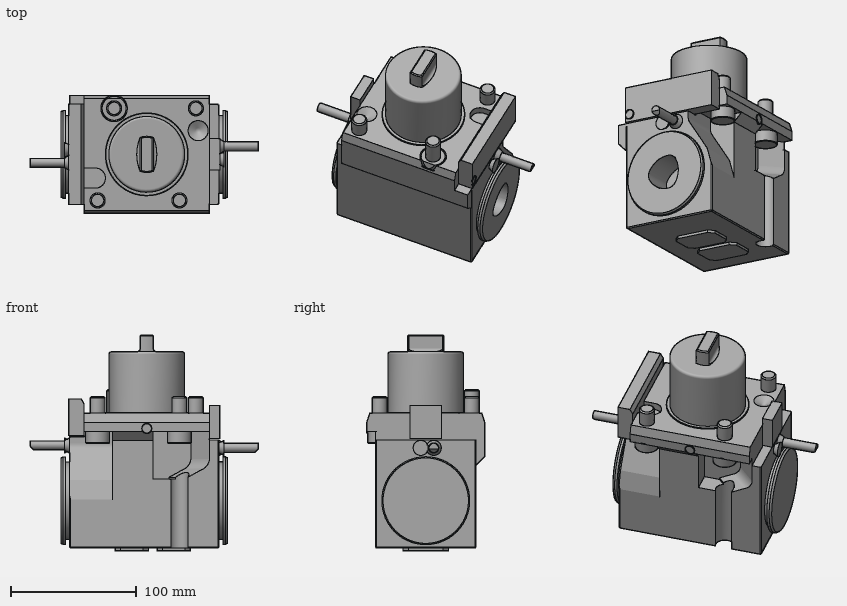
import cadquery as cq
import math


body_half_length = 59.4
body_half_width = 40.0
body_shoulder_left = 88.6
body_shoulder_right = 86.0
body_edge_chamfer = 0.9

plate_axis_x = 2.0
plate_half_length = 49.8
plate_half_width = 46.95
plate_bottom = 92.6
plate_top = 107.3
bevel_width = 2.4
bevel_height = 7.3
plate_left = plate_axis_x - plate_half_length
plate_right = plate_axis_x + plate_half_length
overhang = plate_half_width - body_half_width
rear_bulge_bottom = 72.8

cylinder_diameter = 60.3
cylinder_top = 156.2
cylinder_fillet = 2.2
collar_diameter = 66.0
collar_height = 0.7
key_top = 169.6
key_thickness = 10.5
key_diameter = 28.9
key_chamfer = 0.9
key_root_radius = 2.7

screw_diameter = 12.0
screw_head_diameter = 19.0
screw_head_bottom = 83.4
screw_head_chamfer = 0.5
screw_tip_chamfer = 1.0
screw_top = 120.5
tall_screw_top = 126.0
screw_y = 36.6
front_screws_x = (plate_axis_x - 39.0, plate_axis_x + 26.0)
rear_screws_x = (plate_axis_x - 26.0, plate_axis_x + 39.0)
counterbore_diameter = 21.0
counterbore_depth = 5.5

plate_hole_diameter = 16.0
plate_hole_x = 40.9
plate_hole_y = 18.9
drill_point_angle = 118
slot_depth = 6.0

flange_z = 37.8
flange_diameter = 70.0
flange_face_diameter = 68.0
flange_neck_diameter = 62.0
flange_face_x = 66.3
flange_thickness = 3.8
flange_bevel = 1.8
port_depth = 27.2
port_corner_radius = 8.0
port_corner_offset = 6.81

recess_end_x = -25.2
pocket_left_x = 7.0
pocket_floor_z = 54.8
pocket_depth = 15.6
pocket_slant = 14.9
groove_diameter = 15.0
groove_top = pocket_floor_z + 9

block_left_thickness = 12.4
block_left_bottom = 89.5
block_left_top = 118.8
block_right_thickness = 8.4
block_right_half_width = 12.5
block_right_bottom = 87.2
block_right_top = 113.5

cable_tip_x = 90.8
cone_length = 4.0
cone_large_diameter = 12.0
cone_small_diameter = 8.0
cable_tip_chamfer = 2.9

pin_diameter = 7.5
pin_hole_diameter = 8.0
pin_gap_depth = 0.7
front_pin_z = 95.2
block_pin_z = 95.9

pad_centers_x = (-9.8, 23.5)
pad_length = 26.5
pad_width = 36.3
pad_height = 2.2
pad_corner = 4.4


def block(x0, x1, y0, y1, z0, z1):
    """Box given by its limits along the three axes."""
    return cq.Workplane("XY").box(x1 - x0, y1 - y0, z1 - z0, centered=False).translate((x0, y0, z0))


def rod(diameter, start, direction, length):
    """Cylinder from a start point along a direction."""
    axis = cq.Vector(*direction)
    return cq.Workplane(cq.Solid.makeCylinder(diameter / 2, length, cq.Vector(*start), axis))


def cone(start_diameter, end_diameter, start, direction, length):
    """Truncated cone from a start point along a direction."""
    solid = cq.Solid.makeCone(
        start_diameter / 2, end_diameter / 2, length, cq.Vector(*start), cq.Vector(*direction)
    )
    return cq.Workplane(solid)


def along_x(points, x0, x1):
    """Prism of a (Y, Z) outline between two X positions."""
    return cq.Workplane("YZ", origin=(x0, 0, 0)).polyline(points).close().extrude(x1 - x0)


def rear_bulge(x0, x1, top):
    """Rear thickening of the body with a 45 degree underside."""
    return along_x(
        [
            (body_half_width, rear_bulge_bottom - overhang),
            (plate_half_width, rear_bulge_bottom),
            (plate_half_width, top),
            (body_half_width, top),
        ],
        x0,
        x1,
    )


def make_body():
    main = block(
        -body_half_length, body_half_length, -body_half_width, body_half_width, 0, body_shoulder_right
    )
    main = main.edges("|Z or <Z").chamfer(body_edge_chamfer)
    left_shoulder = block(
        -body_half_length, plate_left, -body_half_width, body_half_width,
        body_shoulder_right, body_shoulder_left,
    )
    under_plate = block(
        plate_left, plate_right, -body_half_width, body_half_width, body_shoulder_right, plate_bottom
    )
    front_corbel = along_x(
        [
            (-body_half_width, plate_bottom - overhang),
            (-body_half_width, plate_bottom),
            (-plate_half_width, plate_bottom),
        ],
        recess_end_x,
        pocket_left_x,
    )
    body = main.union(left_shoulder).union(under_plate).union(front_corbel)
    body = body.union(rear_bulge(-body_half_length, plate_left, body_shoulder_left))
    return body.union(rear_bulge(plate_left, plate_right, plate_bottom))


def left_recess():
    """Recess below the front left screw: back wall, steep slope and steeper lip."""
    wall_y, wall_bottom = -18.0, 80.8
    slope_y, slope_bottom = -35.6, 54.0
    recess_bottom = 38.7
    root_fillet = 8.2
    cutter = along_x(
        [
            (wall_y, plate_bottom),
            (wall_y, wall_bottom),
            (slope_y, slope_bottom),
            (-body_half_width, recess_bottom),
            (-plate_half_width, recess_bottom),
            (-plate_half_width, plate_bottom),
        ],
        -body_half_length - 1.8,
        recess_end_x,
    )
    root = cq.selectors.NearestToPointSelector((-body_half_length / 2, wall_y, wall_bottom))
    return cutter.edges("|X").edges(root).fillet(root_fillet)


def right_pocket():
    """Pocket below the front right screw; its right wall slants inwards with depth."""
    ramp_start = (34.5, 56.3)
    arc_start = (45.4, 62.3)
    arc_middle = (50.0, 65.7)
    arc_end = (52.0, 70.8)
    outline = (
        cq.Workplane("XZ", origin=(0, -body_half_width, 0))
        .moveTo(pocket_left_x, plate_bottom)
        .lineTo(pocket_left_x, pocket_floor_z)
        .lineTo(ramp_start[0], pocket_floor_z)
        .lineTo(*ramp_start)
        .lineTo(*arc_start)
        .threePointArc(arc_middle, arc_end)
        .lineTo(arc_end[0], plate_bottom)
        .close()
    )
    inwards = cq.Vector(-pocket_slant, pocket_depth, 0)
    pocket = cq.Workplane(cq.Solid.extrudeLinear(outline.wires().val(), [], inwards))
    keep = block(
        pocket_left_x, body_half_length, -body_half_width, 0, pocket_floor_z, plate_bottom
    )
    return pocket.intersect(keep)


def make_plate():
    profile = [
        (-plate_half_width, plate_bottom),
        (plate_half_width, plate_bottom),
        (plate_half_width, plate_top - bevel_height),
        (plate_half_width - bevel_width, plate_top),
        (bevel_width - plate_half_width, plate_top),
        (-plate_half_width, plate_top - bevel_height),
    ]
    plate = along_x(profile, plate_left, plate_right)

    hole_x = plate_axis_x + plate_hole_x
    point_height = plate_hole_diameter / 2 / math.tan(math.radians(drill_point_angle / 2))
    plate = plate.cut(
        cone(plate_hole_diameter, 0, (hole_x, plate_hole_y, plate_top), (0, 0, -1), point_height)
    )

    slot_x = plate_axis_x - plate_hole_x
    slot_floor = plate_top - slot_depth
    radius = plate_hole_diameter / 2
    slot_end = rod(plate_hole_diameter, (slot_x, -plate_hole_y, slot_floor), (0, 0, 1), slot_depth)
    slot_run = block(
        plate_left, slot_x, -plate_hole_y - radius, -plate_hole_y + radius, slot_floor, plate_top
    )
    plate = plate.cut(slot_end).cut(slot_run)

    bore_start = (rear_screws_x[0], screw_y, plate_top - counterbore_depth)
    bore = rod(counterbore_diameter, bore_start, (0, 0, 1), counterbore_depth)
    head = rod(screw_head_diameter, bore_start, (0, 0, 1), counterbore_depth)
    return plate.cut(bore.cut(head))


def make_screw(x, y, top, has_head):
    shank = rod(screw_diameter, (x, y, plate_bottom), (0, 0, 1), top - plate_bottom)
    shank = shank.faces(">Z").chamfer(screw_tip_chamfer)
    if not has_head:
        return shank
    head_height = plate_bottom - screw_head_bottom
    head = rod(screw_head_diameter, (x, y, screw_head_bottom), (0, 0, 1), head_height)
    return shank.union(head.faces("<Z").chamfer(screw_head_chamfer))


def make_key():
    """Key milled from a round stub, with root fillets beside its flats."""
    half = key_thickness / 2
    key = rod(key_diameter, (0, 0, cylinder_top), (0, 0, 1), key_top - cylinder_top)
    key = key.intersect(cq.Workplane("XY").box(key_thickness, 2 * key_diameter, 3 * key_top))
    key = key.faces(">Z").edges().chamfer(key_chamfer)

    root = half + key_root_radius
    tip_y = math.sqrt((key_diameter / 2) ** 2 - half**2)
    lens = (
        cq.Workplane("XY", origin=(0, 0, cylinder_top - key_root_radius))
        .moveTo(half, -tip_y)
        .threePointArc((root, 0), (half, tip_y))
        .lineTo(-half, tip_y)
        .threePointArc((-root, 0), (-half, -tip_y))
        .close()
        .extrude(2 * key_root_radius)
    )
    for x in (-root, root):
        rod_start = (x, -key_diameter, cylinder_top + key_root_radius)
        lens = lens.cut(rod(2 * key_root_radius, rod_start, (0, 1, 0), 2 * key_diameter))
    return key.union(lens).translate((plate_axis_x, 0, 0))


def make_drive():
    """Drive cylinder with its collar and key."""
    base = (plate_axis_x, 0, plate_bottom)
    up = (0, 0, 1)
    cylinder = rod(cylinder_diameter, base, up, cylinder_top - plate_bottom)
    cylinder = cylinder.faces(">Z").edges().fillet(cylinder_fillet)
    collar = rod(collar_diameter, base, up, plate_top + collar_height - plate_bottom)
    collar = collar.faces(">Z").edges().chamfer(collar_height / 2)
    return collar.union(cylinder).union(make_key())


def make_flange(side):
    """Pipe flange on the left (-1) or right (+1) end of the body."""
    outward = (side, 0, 0)
    inner_x = flange_face_x - flange_thickness
    bevel_x = flange_face_x - flange_bevel
    neck = rod(
        flange_neck_diameter, (side * body_half_length, 0, flange_z), outward, inner_x - body_half_length
    )
    rim = rod(flange_diameter, (side * inner_x, 0, flange_z), outward, bevel_x - inner_x)
    face = cone(
        flange_diameter, flange_face_diameter, (side * bevel_x, 0, flange_z), outward, flange_bevel
    )
    return neck.union(rim).union(face)


def port():
    """Blind port of constant width: a triangle of arcs with rounded corners, one pointing to +Y."""
    triangle_side = port_corner_offset * math.sqrt(3)
    side_offset = triangle_side + port_corner_radius - port_corner_offset

    def at(radius, angle):
        return radius * math.cos(math.radians(angle)), radius * math.sin(math.radians(angle))

    def corner_point(angle, turn):
        center = at(port_corner_offset, angle)
        step = at(port_corner_radius, angle + turn)
        return center[0] + step[0], center[1] + step[1]

    outline = cq.Workplane("YZ", origin=(-flange_face_x, 0, flange_z)).moveTo(*corner_point(0, -30))
    for corner in (0, 120, 240):
        corner_tip = at(port_corner_offset + port_corner_radius, corner)
        outline = outline.threePointArc(corner_tip, corner_point(corner, 30))
        outline = outline.threePointArc(at(side_offset, corner + 60), corner_point(corner + 120, -30))
    return outline.close().extrude(port_depth)


def make_cable(side, cable_y, plug_y, z, diameter):
    """Cable in a tapered grommet, with a flared plug beside it."""
    outward = (side, 0, 0)
    face_x = side * body_half_length
    length = cable_tip_x - body_half_length
    cable = rod(diameter, (face_x, cable_y, z), outward, length)
    underside = z - diameter / 2
    tip_cut = (
        cq.Workplane("XZ", origin=(0, cable_y + diameter, 0))
        .moveTo(side * cable_tip_x, underside)
        .lineTo(side * (cable_tip_x - cable_tip_chamfer), underside)
        .lineTo(side * cable_tip_x, underside + cable_tip_chamfer)
        .close()
        .extrude(2 * diameter)
    )
    grommet = cone(cone_large_diameter, cone_small_diameter, (face_x, cable_y, z), outward, cone_length)
    plug = cone(cone_small_diameter, cone_large_diameter, (face_x, plug_y, z), outward, cone_length)
    return cable.cut(tip_cut).union(grommet).union(plug)


def make_left_block():
    """Full-width block against the plate, its upper inner edge bevelled."""
    bevel_x, bevel_z = 2.4, 4.0
    return (
        cq.Workplane("XZ", origin=(0, body_half_width, 0))
        .moveTo(plate_left, block_left_bottom)
        .lineTo(plate_left, block_left_top - bevel_z)
        .lineTo(plate_left - bevel_x, block_left_top)
        .lineTo(plate_left - block_left_thickness, block_left_top)
        .lineTo(plate_left - block_left_thickness, block_left_bottom)
        .close()
        .extrude(2 * body_half_width)
    )


def make_right_block():
    return block(
        plate_right, plate_right + block_right_thickness,
        -block_right_half_width, block_right_half_width,
        block_right_bottom, block_right_top,
    )


def pin_gap(start, inward):
    """Ring-shaped gap around a flush pin."""
    hole = rod(pin_hole_diameter, start, inward, pin_gap_depth)
    return hole.cut(rod(pin_diameter, start, inward, pin_gap_depth))


def make_pad(x):
    pad = cq.Workplane("XY").box(pad_length, pad_width, pad_height)
    return pad.edges("|Z").chamfer(pad_corner).translate((x, 0, -pad_height / 2))


part = make_body()
part = part.cut(left_recess()).cut(right_pocket())
part = part.cut(rod(groove_diameter, (front_screws_x[1], -screw_y, 0), (0, 0, 1), groove_top))
part = part.union(make_plate()).union(make_drive())
part = part.union(make_left_block()).union(make_right_block())

for x in front_screws_x:
    part = part.union(make_screw(x, -screw_y, screw_top, True))
for x, top in zip(rear_screws_x, (tall_screw_top, screw_top)):
    part = part.union(make_screw(x, screw_y, top, False))

for side in (-1, 1):
    part = part.union(make_flange(side))
part = part.cut(port())

part = part.union(make_cable(-1, cable_y=-6.7, plug_y=3.6, z=81.7, diameter=7.0))
part = part.union(make_cable(1, cable_y=6.4, plug_y=-4.0, z=79.7, diameter=7.5))

front_pin_start = (plate_axis_x, -plate_half_width, front_pin_z)
part = part.union(rod(pin_hole_diameter, front_pin_start, (0, 1, 0), overhang))
part = part.cut(pin_gap(front_pin_start, (0, 1, 0)))
part = part.cut(pin_gap((plate_left - block_left_thickness, screw_y, block_pin_z), (1, 0, 0)))

for x in pad_centers_x:
    part = part.union(make_pad(x))

result = part